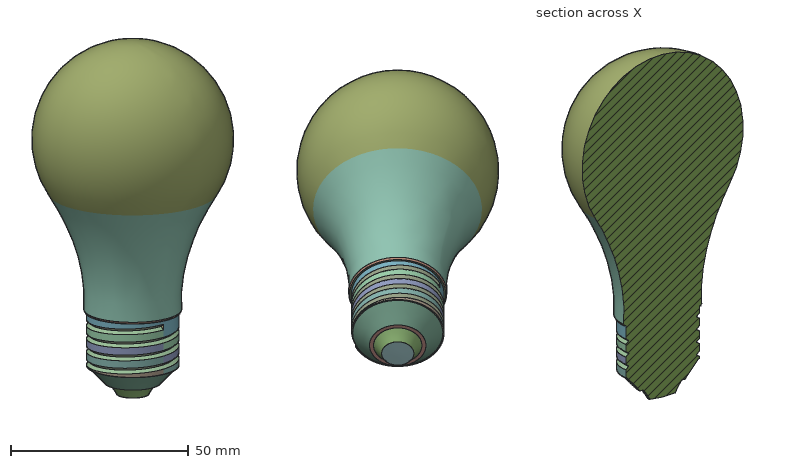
import cadquery as cq
import math

total_height = 103.5
globe_radius = 28.6
globe_center_z = total_height - globe_radius

globe_seam_z = 59.2
housing_neck_z = 34.6
housing_neck_radius = 14.3
housing_mid_z = 45.5
housing_mid_radius = 17.1
housing_bottom_z = 25.2
housing_bottom_radius = 13.9
collar_bottom_z = 24.5
collar_radius = 13.6

cap_radius = 26.2 / 2
cap_bottom_z = 8.7
groove_start_z = 9.2
groove_pitch = 3.8
groove_turns = 3.5
groove_depth = 1.0
groove_width = 1.7
cutter_overlap = 0.2

insulator_top_radius = 12.7
insulator_bottom_radius = 8.0
insulator_bottom_z = 3.6
contact_top_radius = 6.8
contact_mid_radius = 5.3
contact_mid_z = 1.6
contact_bottom_radius = 4.6
contact_bottom_z = 0.3


def make_body():
    """Revolve the whole lamp outline about the Z axis."""
    seam_radius = math.sqrt(globe_radius**2 - (globe_center_z - globe_seam_z) ** 2)
    flare_points = [
        (housing_neck_radius, housing_neck_z),
        (housing_mid_radius, housing_mid_z),
        (seam_radius, globe_seam_z),
    ]
    outline = (
        cq.Workplane("XZ")
        .moveTo(0, 0)
        .lineTo(contact_bottom_radius, contact_bottom_z)
        .threePointArc((contact_mid_radius, contact_mid_z), (contact_top_radius, insulator_bottom_z))
        .lineTo(insulator_bottom_radius, insulator_bottom_z)
        .lineTo(insulator_top_radius, cap_bottom_z)
        .lineTo(cap_radius, cap_bottom_z)
        .lineTo(cap_radius, collar_bottom_z)
        .lineTo(collar_radius, collar_bottom_z)
        .lineTo(housing_bottom_radius, housing_bottom_z)
        .spline(flare_points, includeCurrent=True)
        .threePointArc((globe_radius, globe_center_z), (0, total_height))
        .close()
    )
    return outline.revolve(360, (0, 0, 0), (0, 1, 0))


def make_thread_cutter():
    """Sweep a V section along a right-handed helix that starts on the -X side."""
    helix = cq.Wire.makeHelix(groove_pitch, groove_pitch * groove_turns, cap_radius)
    outer_half_width = groove_width / 2 * (groove_depth + cutter_overlap) / groove_depth
    section = cq.Workplane("XZ").polyline(
        [
            (cap_radius - groove_depth, 0),
            (cap_radius + cutter_overlap, outer_half_width),
            (cap_radius + cutter_overlap, -outer_half_width),
        ]
    ).close()
    cutter = section.sweep(cq.Workplane(helix), isFrenet=True)
    return cutter.rotate((0, 0, 0), (0, 0, 1), 180).translate((0, 0, groove_start_z))


result = make_body().cut(make_thread_cutter())